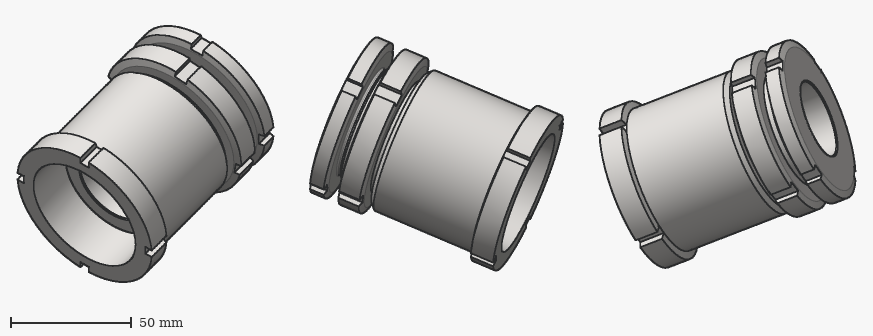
import cadquery as cq
import math

OVERALL_LENGTH = 84.3
OUTER_DIAMETER = 70.0
OUTER_RADIUS = OUTER_DIAMETER / 2
RIM_FACE_RADIUS = 31.7
RIM_CHAMFER_ANGLE = 15.0
RIM_CHAMFER = (OUTER_RADIUS - RIM_FACE_RADIUS) * math.tan(math.radians(RIM_CHAMFER_ANGLE))
SLOT_COUNT = 4

BARREL_RADIUS = RIM_FACE_RADIUS
BARREL_END = 57.9
BARREL_CHAMFER = 2.0
FLANGE_THICKNESS = 11.05
FLANGE_SLOT_WIDTH = 4.2
COUNTERBORE_RADIUS = 26.55
COUNTERBORE_DEPTH = 25.3

THREAD_RADIUS = 24.95
THREAD_CHAMFER = 0.9
SPINDLE_START = 18.55
THREAD_END = 74.6
SPINDLE_BORE_RADIUS = 16.4
BORE_CHAMFER = 0.5
HEAD_THICKNESS = 8.0
HEAD_START = OVERALL_LENGTH - HEAD_THICKNESS
THREAD_TIP_RADIUS = THREAD_RADIUS - THREAD_CHAMFER
TIP_ROUND = 0.25
NECK_RADIUS = THREAD_TIP_RADIUS - TIP_ROUND
HEAD_FILLET = 0.7

NUT_START = 60.3
NUT_THICKNESS = FLANGE_THICKNESS
NUT_END = NUT_START + NUT_THICKNESS
NUT_TURN = 6.7

WRENCH_SLOT_WIDTH = 6.0
WRENCH_SLOT_FLOOR = OUTER_RADIUS - 2.5


def turned(profile):
    """Solid of revolution about Y from (radius, y) points."""
    return cq.Workplane("XY").polyline(profile).close().revolve(360, (0, 0), (0, 1))


def rim_slots(width, floor_radius, start, end, turn=0.0):
    """Axial slots, equally spaced round the rim, as cutting blocks."""
    depth = OUTER_RADIUS - floor_radius
    slots = cq.Workplane("XY")
    for i in range(SLOT_COUNT):
        block = (
            cq.Workplane("XY")
            .box(width, end - start, 2 * depth, centered=(True, False, False))
            .translate((0, start, floor_radius))
            .rotate((0, 0, 0), (0, 1, 0), turn + i * 360 / SLOT_COUNT)
        )
        slots = slots.add(block)
    return slots.combine()


def make_housing():
    body = turned([
        (COUNTERBORE_RADIUS, 0),
        (OUTER_RADIUS, 0),
        (OUTER_RADIUS, FLANGE_THICKNESS - RIM_CHAMFER),
        (BARREL_RADIUS, FLANGE_THICKNESS),
        (BARREL_RADIUS, BARREL_END - BARREL_CHAMFER),
        (BARREL_RADIUS - BARREL_CHAMFER, BARREL_END),
        (THREAD_RADIUS, BARREL_END),
        (THREAD_RADIUS, COUNTERBORE_DEPTH),
        (COUNTERBORE_RADIUS, COUNTERBORE_DEPTH),
    ])
    return body.cut(rim_slots(FLANGE_SLOT_WIDTH, BARREL_RADIUS, 0, FLANGE_THICKNESS))


def make_lock_nut():
    body = turned([
        (THREAD_RADIUS, NUT_START),
        (RIM_FACE_RADIUS, NUT_START),
        (OUTER_RADIUS, NUT_START + RIM_CHAMFER),
        (OUTER_RADIUS, NUT_END - RIM_CHAMFER),
        (RIM_FACE_RADIUS, NUT_END),
        (THREAD_RADIUS, NUT_END),
    ])
    return body.cut(rim_slots(WRENCH_SLOT_WIDTH, WRENCH_SLOT_FLOOR, NUT_START, NUT_END, NUT_TURN))


def make_spindle():
    diagonal = math.sqrt(0.5)
    profile = (
        cq.Workplane("XY")
        .moveTo(SPINDLE_BORE_RADIUS + BORE_CHAMFER, SPINDLE_START)
        .lineTo(NECK_RADIUS, SPINDLE_START)
        .threePointArc(
            (NECK_RADIUS + TIP_ROUND * diagonal, SPINDLE_START + TIP_ROUND * (1 - diagonal)),
            (THREAD_TIP_RADIUS, SPINDLE_START + TIP_ROUND),
        )
        .lineTo(THREAD_RADIUS, SPINDLE_START + TIP_ROUND + THREAD_CHAMFER)
        .lineTo(THREAD_RADIUS, THREAD_END - THREAD_CHAMFER)
        .lineTo(THREAD_TIP_RADIUS, THREAD_END)
        .threePointArc(
            (THREAD_TIP_RADIUS - TIP_ROUND * diagonal, THREAD_END + TIP_ROUND * (1 - diagonal)),
            (NECK_RADIUS, THREAD_END + TIP_ROUND),
        )
        .lineTo(NECK_RADIUS, HEAD_START - HEAD_FILLET)
        .threePointArc(
            (NECK_RADIUS + HEAD_FILLET * (1 - diagonal), HEAD_START - HEAD_FILLET * (1 - diagonal)),
            (NECK_RADIUS + HEAD_FILLET, HEAD_START),
        )
        .lineTo(RIM_FACE_RADIUS, HEAD_START)
        .lineTo(OUTER_RADIUS, HEAD_START + RIM_CHAMFER)
        .lineTo(OUTER_RADIUS, OVERALL_LENGTH - RIM_CHAMFER)
        .lineTo(RIM_FACE_RADIUS, OVERALL_LENGTH)
        .lineTo(SPINDLE_BORE_RADIUS + BORE_CHAMFER, OVERALL_LENGTH)
        .lineTo(SPINDLE_BORE_RADIUS, OVERALL_LENGTH - BORE_CHAMFER)
        .lineTo(SPINDLE_BORE_RADIUS, SPINDLE_START + BORE_CHAMFER)
        .close()
    )
    body = profile.revolve(360, (0, 0), (0, 1))
    return body.cut(rim_slots(WRENCH_SLOT_WIDTH, WRENCH_SLOT_FLOOR, HEAD_START, OVERALL_LENGTH))


housing = make_housing()
lock_nut = make_lock_nut()
spindle = make_spindle()

result = cq.Compound.makeCompound([housing.val(), lock_nut.val(), spindle.val()])